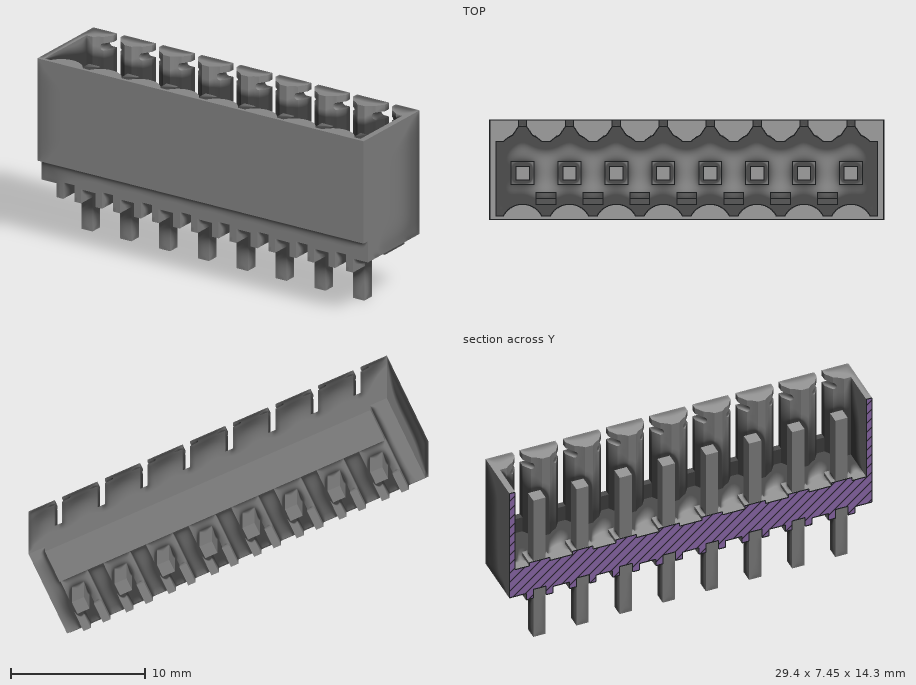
import cadquery as cq
import math

PIN_COUNT = 8
PITCH = 3.5
LENGTH = 29.4
BACK_Y = 3.97
DEPTH = 7.45
FRONT_Y = BACK_Y - DEPTH
TOP_Z = 14.25

PIN_WIDTH = 1.0
PIN_TOP_Z = 12.95

FOOT_BOTTOM_Z = 3.2
FOOT_TOP_Z = 4.32
FOOT_END_INSET = 1.35
FRONT_STEP_DEPTH = 0.55
FRONT_STEP_Z = 6.03
CHANNEL_BACK_Y = 1.35
CHANNEL_FRONT_Y = -1.3
CHANNEL_TOP_Z = 3.7
LEG_NOTCH_WIDTH = 1.3
PIN_SLOT_TOP_Z = 4.53

FLOOR_Z = 6.9
END_WALL = 0.47
FRONT_WALL = 0.25
BACK_WALL = 1.62
SCALLOP_HALF_WIDTH = 1.45
SCALLOP_HEIGHT = 0.88

WEB_THICKNESS = 0.5
SLOT_WIDTH = 0.62
FLANK_DEPTH = 1.15
PLUG_RADIUS = 1.97
PLUG_CENTRE_DEPTH = 2.97
SLOT_BOTTOM_Z = 8.23

KEYHOLE_FLOOR_Z = 13.15
KEYHOLE_WIDTH = 1.95
KEYHOLE_HEIGHT = 0.6
KEYHOLE_CORNER_RADIUS = 0.25

COLLAR_WIDTH = 1.7
COLLAR_HEIGHT = 0.3
POCKET_WIDTH = 1.47
POCKET_BACK_Y = -1.45
POCKET_FRONT_Y = -2.32
POCKET_RAMP_RUN = 0.45
POCKET_DEPTH = 0.45

PIN_XS = [(i - (PIN_COUNT - 1) / 2) * PITCH for i in range(PIN_COUNT)]
GAP_XS = [x + PITCH / 2 for x in PIN_XS[:-1]]


def block(x_range, y_range, z_range):
    """Rectangular block between the given limits."""
    (x0, x1), (y0, y1), (z0, z1) = x_range, y_range, z_range
    return cq.Workplane("XY").box(x1 - x0, y1 - y0, z1 - z0, centered=False).translate((x0, y0, z0))


def centred(x, width):
    """Limits of a span of the given width around x."""
    return (x - width / 2, x + width / 2)


def shell():
    """Outer block with a stepped front and a shorter foot."""
    length = centred(0, LENGTH)
    foot_length = centred(0, LENGTH - 2 * FOOT_END_INSET)
    base_front_y = FRONT_Y + FRONT_STEP_DEPTH
    body = block(length, (FRONT_Y, BACK_Y), (FRONT_STEP_Z, TOP_Z))
    body = body.union(block(length, (base_front_y, BACK_Y), (FOOT_TOP_Z, FRONT_STEP_Z)))
    return body.union(block(foot_length, (base_front_y, BACK_Y), (FOOT_BOTTOM_Z, FOOT_TOP_Z)))


def foot_cuts():
    """Lengthwise channel, notches between the pins and slots in front of the pins."""
    cuts = block(centred(0, LENGTH), (CHANNEL_FRONT_Y, CHANNEL_BACK_Y), (FOOT_BOTTOM_Z, CHANNEL_TOP_Z))
    for x in GAP_XS:
        notch = block(
            centred(x, LEG_NOTCH_WIDTH), (FRONT_Y, CHANNEL_BACK_Y), (FOOT_BOTTOM_Z, FOOT_TOP_Z)
        )
        cuts = cuts.union(notch)
    for x in PIN_XS:
        slot = block(centred(x, PIN_WIDTH), (FRONT_Y, -PIN_WIDTH / 2), (FOOT_BOTTOM_Z, PIN_SLOT_TOP_Z))
        cuts = cuts.union(slot)
    return cuts


def plug_arc_x(depth):
    """Distance in X from the pin axis to the plug arc, at a depth measured in from the back face."""
    return math.sqrt(PLUG_RADIUS**2 - (PLUG_CENTRE_DEPTH - depth) ** 2)


def cavity():
    """Space above the floor, with scallops along the front and a channel behind each pin."""
    half_length = LENGTH / 2 - END_WALL
    front_y = FRONT_Y + FRONT_WALL
    back_y = BACK_Y - BACK_WALL
    flank_y = BACK_Y - FLANK_DEPTH
    web_y = BACK_Y - WEB_THICKNESS
    arc_mid_depth = (FLANK_DEPTH + BACK_WALL) / 2
    arc_mid_y = BACK_Y - arc_mid_depth
    arc_mid_x = plug_arc_x(arc_mid_depth)
    arc_start_x = plug_arc_x(FLANK_DEPTH)
    arc_end_x = plug_arc_x(BACK_WALL)

    outline = cq.Workplane("XY").workplane(offset=FLOOR_Z).moveTo(-half_length, front_y)
    for x in PIN_XS:
        outline = outline.lineTo(x - SCALLOP_HALF_WIDTH, front_y).threePointArc(
            (x, front_y + SCALLOP_HEIGHT), (x + SCALLOP_HALF_WIDTH, front_y)
        )
    outline = outline.lineTo(half_length, front_y).lineTo(half_length, back_y)
    for x in reversed(PIN_XS):
        outline = (
            outline.lineTo(x + arc_end_x, back_y)
            .threePointArc((x + arc_mid_x, arc_mid_y), (x + arc_start_x, flank_y))
            .lineTo(x + SLOT_WIDTH / 2, web_y)
            .lineTo(x - SLOT_WIDTH / 2, web_y)
            .lineTo(x - arc_start_x, flank_y)
            .threePointArc((x - arc_mid_x, arc_mid_y), (x - arc_end_x, back_y))
        )
    return outline.lineTo(-half_length, back_y).close().extrude(TOP_Z - FLOOR_Z)


def keyhole(x):
    """Rounded opening through the back wall, crossed by a narrow slot that is open at the top."""
    y_range = (BACK_Y - BACK_WALL, BACK_Y)
    rounded = block(
        centred(x, KEYHOLE_WIDTH), y_range, (KEYHOLE_FLOOR_Z, KEYHOLE_FLOOR_Z + KEYHOLE_HEIGHT)
    )
    rounded = rounded.edges("|Y").fillet(KEYHOLE_CORNER_RADIUS)
    return rounded.union(block(centred(x, SLOT_WIDTH), y_range, (SLOT_BOTTOM_Z, TOP_Z)))


def floor_pocket(x):
    """Pocket in the cavity floor, with a ramp along its front."""
    return (
        cq.Workplane("YZ")
        .workplane(offset=x - POCKET_WIDTH / 2)
        .moveTo(POCKET_FRONT_Y, FLOOR_Z)
        .lineTo(POCKET_FRONT_Y + POCKET_RAMP_RUN, FLOOR_Z - POCKET_DEPTH)
        .lineTo(POCKET_BACK_Y, FLOOR_Z - POCKET_DEPTH)
        .lineTo(POCKET_BACK_Y, FLOOR_Z)
        .close()
        .extrude(POCKET_WIDTH)
    )


def make_pin(x):
    """Straight square pin."""
    return block(centred(x, PIN_WIDTH), centred(0, PIN_WIDTH), (0, PIN_TOP_Z))


def make_housing():
    """Shell with its cavity, foot cuts, keyholes, collars, pockets and pin holes."""
    body = shell().cut(cavity()).cut(foot_cuts())
    for x in PIN_XS:
        body = body.cut(keyhole(x))
        collar = block(
            centred(x, COLLAR_WIDTH), centred(0, COLLAR_WIDTH), (FLOOR_Z, FLOOR_Z + COLLAR_HEIGHT)
        )
        body = body.union(collar).cut(make_pin(x))
    for x in GAP_XS:
        body = body.cut(floor_pocket(x))
    return body


housing = make_housing()
pins = [make_pin(x) for x in PIN_XS]

result = cq.Compound.makeCompound([housing.val(), *[pin.val() for pin in pins]])